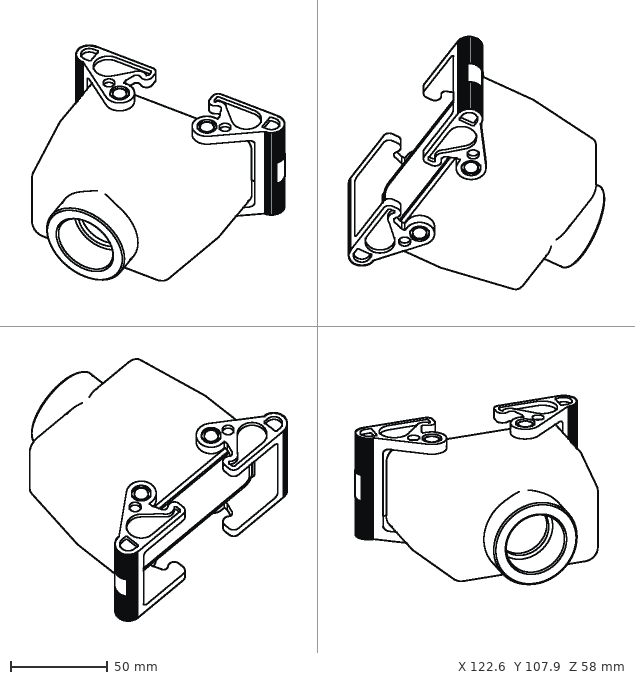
import cadquery as cq
import math


SHELL_LENGTH = 77.5
MOUTH_HALF_WIDTH = 48.2
END_HALF_WIDTH = 40.8
TAPER_LENGTH = 42.7
SHELL_HALF_HEIGHT = 23.2
SIDE_RADIUS = 7.4
END_RADIUS = 3.2
RIM_CHAMFER = 1.7
WALL = 3.7
END_WALL = 5.5

ENTRY_RADIUS = SHELL_HALF_HEIGHT
ENTRY_LENGTH = 15.1
ENTRY_CHAMFER = 0.9
BORE_RADIUS = 16.2
BORE_CHAMFER = 0.9
BORE_FLOOR_Y = 2.8
PASSAGE_RADIUS = 14.0

SPAN = 122.6
LEVER_HEIGHT = 58.0
LEVER_HALF_HEIGHT = LEVER_HEIGHT / 2
LEVER_OVERHANG = 15.3
LEVER_END_Y = SHELL_LENGTH + LEVER_OVERHANG
ARM_INNER_Z = 23.4
WINDOW_X = -49.9
WINDOW_RADIUS = 2.7
RECESS_DEPTH = 2.5

PIVOT_X, PIVOT_Y = -26.0, 67.8
PIVOT_RADIUS = 7.7
RIVET_RADIUS = 3.7
RIVET_RECESS_RADIUS = 5.0
RIVET_RECESS_DEPTH = 1.5
RIVET_HEAD_DROP = 0.5
STOP_HOLE_X, STOP_HOLE_Y = -34.6, 71.7
STOP_HOLE_RADIUS = 3.1

PAD_RADIUS = 7.1
PAD_HALF_WIDTH = 4.3
PAD_HALF_HEIGHT = 7.5
GRIP_X = PAD_RADIUS - SPAN / 2
GRIP_CREST_RADIUS = 7.0
GRIP_Y = LEVER_END_Y - GRIP_CREST_RADIUS
RIB_HEIGHT = 0.2
GRIP_VALLEY_RADIUS = GRIP_CREST_RADIUS - RIB_HEIGHT
RIB_COUNT = 26
FIRST_RIB_ANGLE = 90.0
LAST_RIB_ANGLE = 270.0

TIP_X, TIP_Y = -20.5, 86.3
TIP_RADIUS = 3.3
NOTCH_X, NOTCH_Y = -24.0, 82.0
NOTCH_RADIUS = 2.2
THROAT_X = -28.0
THROAT_Y = 77.6

RECESS_X, RECESS_Y = -41.2, 82.6
RECESS_RADIUS = 7.7
RECESS_END_RADIUS = 0.92
RECESS_SLOPE_END_X = -27.6
RECESS_LIP_RISE = 1.3
GRIP_RECESS_RADIUS = 4.4
GRIP_RECESS_END_X = -51.1
GRIP_RECESS_CORNER = 0.6


def polar(x, y, radius, angle):
    """Point at an angle in degrees on a circle about (x, y)."""
    turn = math.radians(angle)
    return (x + radius * math.cos(turn), y + radius * math.sin(turn))


def both_sides(solid):
    """Solid joined with its mirror image below the XY plane."""
    return solid.union(solid.mirror("XY"))


def hood_block(start_y, inset):
    """Tapered block of the shell outline, drawn in by the inset, from start_y to the open end."""
    taper = (MOUTH_HALF_WIDTH - END_HALF_WIDTH) / TAPER_LENGTH
    mouth = MOUTH_HALF_WIDTH - inset
    end = END_HALF_WIDTH - inset + taper * start_y
    half_height = SHELL_HALF_HEIGHT - inset
    outline = [
        (-end, start_y),
        (end, start_y),
        (mouth, TAPER_LENGTH),
        (mouth, SHELL_LENGTH),
        (-mouth, SHELL_LENGTH),
        (-mouth, TAPER_LENGTH),
    ]
    block = cq.Workplane("XY").polyline(outline).close().extrude(half_height, both=True)
    long_edges = block.faces("|Z").edges("not |X")
    return long_edges.fillet(SIDE_RADIUS - inset)


def make_shell():
    body = hood_block(0.0, 0.0)
    body = body.faces("<Y").edges().fillet(END_RADIUS)
    body = body.faces(">Y").edges().chamfer(RIM_CHAMFER)
    entry = cq.Workplane("XZ").circle(ENTRY_RADIUS).extrude(ENTRY_LENGTH)
    entry = entry.faces("<Y").chamfer(ENTRY_CHAMFER)
    entry_root = cq.Workplane("XZ").circle(ENTRY_RADIUS).extrude(-END_RADIUS)
    body = body.union(entry).union(entry_root)

    bore_depth = ENTRY_LENGTH + BORE_FLOOR_Y
    bore = cq.Workplane("XZ", origin=(0, BORE_FLOOR_Y, 0)).circle(BORE_RADIUS).extrude(bore_depth)
    mouth = cq.Workplane("XZ", origin=(0, -ENTRY_LENGTH, 0)).circle(BORE_RADIUS + BORE_CHAMFER)
    mouth = mouth.workplane(offset=-BORE_CHAMFER).circle(BORE_RADIUS).loft()
    passage = cq.Workplane("XZ").circle(PASSAGE_RADIUS).extrude(-END_WALL)
    cavity = hood_block(END_WALL, WALL)
    return body.cut(bore).cut(mouth).cut(passage).cut(cavity)


def lever_outline():
    """Side profile of the left lever: grip, hook and hinge eye."""
    back_end = polar(GRIP_X, GRIP_Y, GRIP_VALLEY_RADIUS, LAST_RIB_ANGLE)
    reach_x = back_end[0] - PIVOT_X
    reach_y = back_end[1] - PIVOT_Y
    tangent_turn = math.acos(PIVOT_RADIUS / math.hypot(reach_x, reach_y))
    back_angle = math.degrees(math.atan2(reach_y, reach_x) + tangent_turn)
    back_start = polar(PIVOT_X, PIVOT_Y, PIVOT_RADIUS, back_angle)
    tip_angle = math.degrees(math.atan2(NOTCH_Y - TIP_Y, NOTCH_X - TIP_X))
    tip_right = TIP_X + TIP_RADIUS
    corner_y = LEVER_END_Y - TIP_RADIUS
    eye_top = PIVOT_Y + PIVOT_RADIUS
    return (
        cq.Workplane("XY", origin=(0, 0, -LEVER_HALF_HEIGHT))
        .moveTo(GRIP_X, LEVER_END_Y)
        .lineTo(TIP_X, LEVER_END_Y)
        .threePointArc(polar(TIP_X, corner_y, TIP_RADIUS, 45), (tip_right, corner_y))
        .lineTo(tip_right, TIP_Y)
        .threePointArc(
            polar(TIP_X, TIP_Y, TIP_RADIUS, tip_angle / 2),
            polar(TIP_X, TIP_Y, TIP_RADIUS, tip_angle),
        )
        .threePointArc((NOTCH_X, NOTCH_Y + NOTCH_RADIUS), (NOTCH_X - NOTCH_RADIUS, NOTCH_Y))
        .lineTo(THROAT_X, THROAT_Y)
        .lineTo(THROAT_X, eye_top)
        .lineTo(PIVOT_X, eye_top)
        .threePointArc((PIVOT_X + PIVOT_RADIUS, PIVOT_Y), back_start)
        .lineTo(*back_end)
        .close()
    )


def make_grip():
    pitch = (LAST_RIB_ANGLE - FIRST_RIB_ANGLE) / RIB_COUNT
    outline = cq.Workplane("XY", origin=(0, 0, -LEVER_HALF_HEIGHT))
    outline = outline.moveTo(*polar(GRIP_X, GRIP_Y, GRIP_VALLEY_RADIUS, FIRST_RIB_ANGLE))
    for rib in range(RIB_COUNT):
        start_angle = FIRST_RIB_ANGLE + pitch * rib
        crest = polar(GRIP_X, GRIP_Y, GRIP_CREST_RADIUS, start_angle + pitch / 2)
        valley = polar(GRIP_X, GRIP_Y, GRIP_VALLEY_RADIUS, start_angle + pitch)
        outline = outline.threePointArc(crest, valley)
    grip = outline.close().extrude(LEVER_HEIGHT)
    pad = cq.Workplane("XY").center(GRIP_X, GRIP_Y).circle(PAD_RADIUS).extrude(PAD_HALF_HEIGHT, both=True)
    pad_limit = cq.Workplane("XY").box(PAD_RADIUS, 2 * PAD_HALF_WIDTH, 2 * PAD_HALF_HEIGHT)
    pad = pad.intersect(pad_limit.translate((GRIP_X - PAD_RADIUS / 2, GRIP_Y, 0)))
    return grip.union(pad)


def hook_recess(plane):
    """Drop-shaped recess that narrows into the hook."""
    slope_start = polar(RECESS_X, RECESS_Y, RECESS_RADIUS, -45)
    slope_end = (RECESS_SLOPE_END_X, slope_start[1] + RECESS_SLOPE_END_X - slope_start[0])
    top = RECESS_Y + RECESS_RADIUS
    corner_y = top - RECESS_END_RADIUS
    right = TIP_X + RECESS_END_RADIUS
    end_y = TIP_Y + RECESS_END_RADIUS
    return (
        plane.moveTo(RECESS_X, top)
        .lineTo(TIP_X, top)
        .threePointArc(polar(TIP_X, corner_y, RECESS_END_RADIUS, 45), (right, corner_y))
        .lineTo(right, end_y)
        .threePointArc(polar(TIP_X, end_y, RECESS_END_RADIUS, -45), (TIP_X, TIP_Y))
        .threePointArc((NOTCH_X, TIP_Y + RECESS_LIP_RISE), slope_end)
        .lineTo(*slope_start)
        .threePointArc((RECESS_X - RECESS_RADIUS, RECESS_Y), (RECESS_X, top))
        .close()
        .extrude(-RECESS_DEPTH)
    )


def grip_recess(plane):
    """D-shaped recess in the end of the grip."""
    top = GRIP_Y + GRIP_RECESS_RADIUS
    bottom = GRIP_Y - GRIP_RECESS_RADIUS
    recess = (
        plane.moveTo(GRIP_X, top)
        .threePointArc((GRIP_X - GRIP_RECESS_RADIUS, GRIP_Y), (GRIP_X, bottom))
        .lineTo(GRIP_RECESS_END_X, bottom)
        .lineTo(GRIP_RECESS_END_X, top)
        .close()
        .extrude(-RECESS_DEPTH)
    )
    return recess.edges("|Z and >X").fillet(GRIP_RECESS_CORNER)


def make_lever():
    """Left lever, with the rivets that hold it to the shell."""
    lever = lever_outline().extrude(LEVER_HEIGHT).union(make_grip())

    window = cq.Workplane("XY").box(-WINDOW_X, 2 * LEVER_END_Y, 2 * ARM_INNER_Z)
    window = window.edges("|Y and <X").fillet(WINDOW_RADIUS).translate((WINDOW_X / 2, LEVER_END_Y, 0))
    lever = lever.cut(window)

    face = cq.Workplane("XY", origin=(0, 0, LEVER_HALF_HEIGHT))
    stop_hole = face.center(STOP_HOLE_X, STOP_HOLE_Y).circle(STOP_HOLE_RADIUS).extrude(-RECESS_DEPTH)
    rivet_recess = face.center(PIVOT_X, PIVOT_Y).circle(RIVET_RECESS_RADIUS)
    rivet_recess = rivet_recess.extrude(-RIVET_RECESS_DEPTH)
    for recess in (hook_recess(face), grip_recess(face), stop_hole, rivet_recess):
        lever = lever.cut(both_sides(recess))

    rivet_start = SHELL_HALF_HEIGHT - WALL
    rivet = cq.Workplane("XY", origin=(PIVOT_X, PIVOT_Y, rivet_start)).circle(RIVET_RADIUS)
    rivet = rivet.extrude(LEVER_HALF_HEIGHT - RIVET_HEAD_DROP - rivet_start)
    return lever.union(both_sides(rivet))


left_lever = make_lever()
right_lever = left_lever.mirror("YZ")
result = make_shell().union(left_lever).union(right_lever)